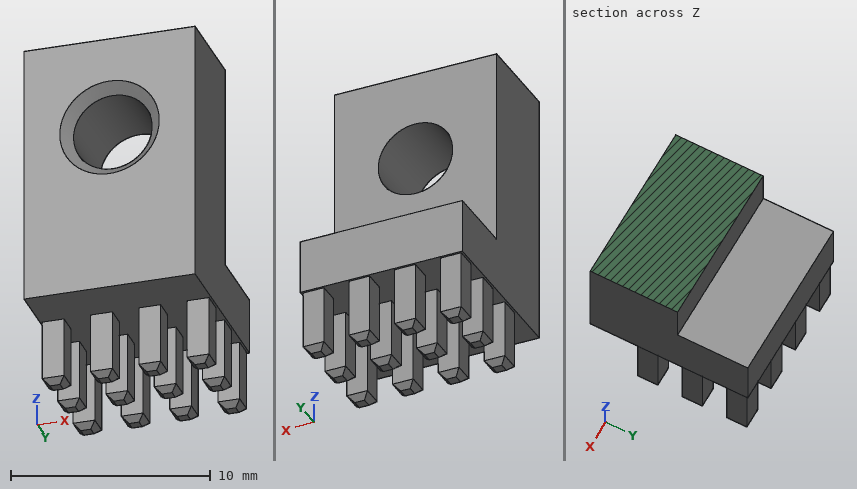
import cadquery as cq

block_width = 9.0
block_depth = 9.0
block_height = 14.0
wall_thickness = 5.0
foot_height = 3.0

hole_diameter = 4.13
hole_height = 9.0
hole_chamfer = 0.55

pin_pitch = 2.54
pin_side = 1.15
pin_length = 3.5
pin_tip_chamfer = 0.31
pin_columns = 4
pin_rows = 3
first_pin_x = -(pin_columns - 1) * pin_pitch / 2
back_pin_y = -first_pin_x

front_y = -block_depth / 2
back_y = block_depth / 2
wall_back_y = front_y + wall_thickness


def make_block():
    """L-shaped block: an upright wall in front and a low foot behind it."""
    profile = [
        (front_y, 0),
        (back_y, 0),
        (back_y, foot_height),
        (wall_back_y, foot_height),
        (wall_back_y, block_height),
        (front_y, block_height),
    ]
    return cq.Workplane("YZ").polyline(profile).close().extrude(block_width / 2, both=True)


def make_hole():
    """Cutter for the through hole with its chamfered front mouth."""
    hole_radius = hole_diameter / 2
    mouth = cq.Solid.makeCone(
        hole_radius + hole_chamfer,
        hole_radius,
        hole_chamfer,
        pnt=cq.Vector(0, front_y, hole_height),
        dir=cq.Vector(0, 1, 0),
    )
    bore = cq.Solid.makeCylinder(
        hole_radius,
        wall_thickness,
        pnt=cq.Vector(0, front_y, hole_height),
        dir=cq.Vector(0, 1, 0),
    )
    return cq.Workplane(bore).union(cq.Workplane(mouth))


def make_pin(x, y):
    """Square pin hanging from the underside, with a chamfered tip."""
    pin = cq.Workplane("XY").center(x, y).rect(pin_side, pin_side).extrude(-pin_length)
    return pin.faces("<Z").chamfer(pin_tip_chamfer)


result = make_block().cut(make_hole())
for column in range(pin_columns):
    for row in range(pin_rows):
        pin_x = first_pin_x + column * pin_pitch
        pin_y = back_pin_y - row * pin_pitch
        result = result.union(make_pin(pin_x, pin_y))